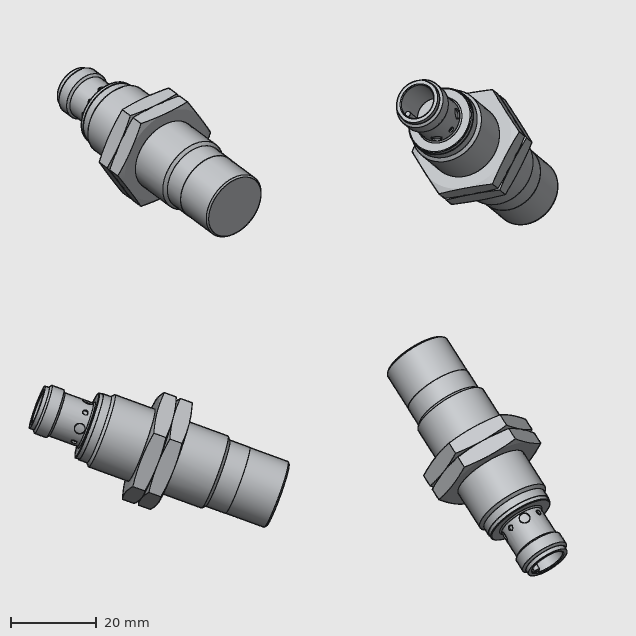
import cadquery as cq
import math

length = 60.0

tip_dia = 10.6
tip_length = 1.0
collar_dia = 12.0
collar_front = 1.5
collar_back = 4.4
collar_bevel = 0.5
neck_dia = 10.8
neck_end = 12.0
flare_length = 0.35
flare_dia = neck_dia + 2 * flare_length

ring_dia = 16.2
ring_start = neck_end + flare_length
ring_bevel = 0.25
ring_bevel_length = 0.15
step_dia = 16.5
step_start = 13.4
thread_dia = 18.0
thread_bevel_start = 15.4
thread_start = 16.1
thread_end = 44.3
thread_bevel_end = 45.05
shank_dia = 16.5
cap_dia = 16.4
cap_start = 50.0
cap_bevel = 0.4

socket_dia = 8.35
socket_mouth_dia = 8.8
socket_mouth_bevel = (socket_mouth_dia - socket_dia) / 2
socket_depth = 9.0
key_start = 0.4
key_dia = 1.35
key_offset = 3.7
key_angle = 225.0

port_position = 10.6
port_count = 4
window_dia = 2.5
window_depth = 0.4
pinhole_dia = 1.3
pinhole_depth = 0.5
pinhole_angle = 45.0

nut_count = 2
nut_start = 26.0
nut_width = 4.0
nut_sides = 6
nut_flats = 24.0
nut_corners = nut_flats / math.cos(math.pi / nut_sides)
nut_bevel_angle = 15.0
nut_bevel = (nut_corners - nut_flats) / 2 * math.tan(math.radians(nut_bevel_angle))


def revolve_about_x(profile):
    """Solid of revolution about X from a list of (x, diameter) points."""
    points = [(x, dia / 2) for x, dia in profile]
    first_x = profile[0][0]
    last_x = profile[-1][0]
    outline = [(first_x, 0)] + points + [(last_x, 0)]
    return cq.Workplane("XY").polyline(outline).close().revolve(360, (0, 0, 0), (1, 0, 0))


def make_body():
    return revolve_about_x([
        (0, tip_dia),
        (tip_length, tip_dia),
        (tip_length, neck_dia),
        (collar_front, collar_dia),
        (collar_back, collar_dia),
        (collar_back + collar_bevel, neck_dia),
        (neck_end, neck_dia),
        (ring_start, flare_dia),
        (ring_start, ring_dia - 2 * ring_bevel),
        (ring_start + ring_bevel_length, ring_dia),
        (step_start, ring_dia),
        (step_start, step_dia),
        (thread_bevel_start, step_dia),
        (thread_start, thread_dia),
        (thread_end, thread_dia),
        (thread_bevel_end, shank_dia),
        (cap_start, shank_dia),
        (cap_start, cap_dia),
        (length - cap_bevel, cap_dia),
        (length, cap_dia - 2 * cap_bevel),
    ])


def make_nut(start):
    """Hexagon with flats on +Z and -Z, corners bevelled on both faces."""
    hexagon = (
        cq.Workplane("YZ")
        .workplane(offset=start)
        .polygon(nut_sides, nut_corners)
        .extrude(nut_width)
    )
    envelope = revolve_about_x([
        (start, nut_flats),
        (start + nut_bevel, nut_corners),
        (start + nut_width - nut_bevel, nut_corners),
        (start + nut_width, nut_flats),
    ])
    return hexagon.intersect(envelope)


def make_socket():
    return revolve_about_x([
        (0, socket_mouth_dia),
        (socket_mouth_bevel, socket_dia),
        (socket_depth, socket_dia),
    ])


def make_key():
    """Round rib along the socket wall, starting just inside the mouth and ending at the floor."""
    return (
        cq.Workplane("YZ")
        .workplane(offset=key_start)
        .center(0, key_offset)
        .circle(key_dia / 2)
        .extrude(socket_depth - key_start)
        .rotate((0, 0, 0), (1, 0, 0), key_angle)
    )


def make_ports(dia, depth, first_angle):
    """Ring of radial cutters whose floors follow the neck's curvature."""
    core = revolve_about_x([
        (0, neck_dia - 2 * depth),
        (neck_end, neck_dia - 2 * depth),
    ])
    ports = cq.Workplane("XY")
    for index in range(port_count):
        angle = first_angle + index * 360 / port_count
        cutter = (
            cq.Workplane("XY")
            .center(port_position, 0)
            .circle(dia / 2)
            .extrude(neck_dia / 2)
            .rotate((0, 0, 0), (1, 0, 0), angle)
        )
        ports = ports.add(cutter.cut(core))
    return ports.combine()


result = make_body()
for nut_index in range(nut_count):
    result = result.union(make_nut(nut_start + nut_index * nut_width))
result = result.cut(make_socket()).union(make_key())
result = result.cut(make_ports(window_dia, window_depth, 0))
result = result.cut(make_ports(pinhole_dia, pinhole_depth, pinhole_angle))